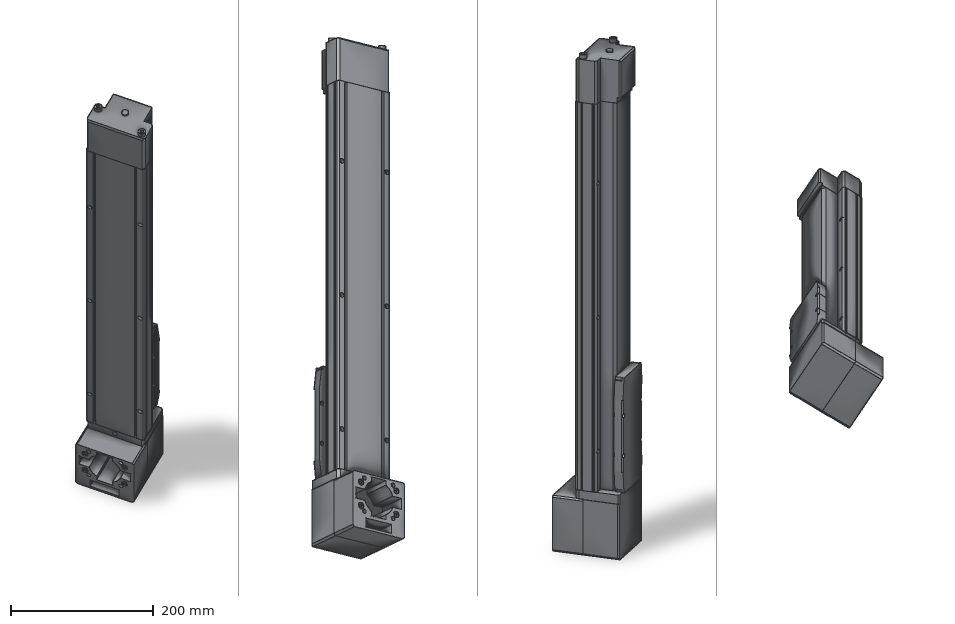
import cadquery as cq
import math


width = 90.0
total_height = 747.5
total_depth = 103.0
half_width = width / 2

block_top = 84.0
rail_bottom = 97.0
rail_top = 677.0
fitting_height = 6.0
cap_top = total_height - fitting_height

mount_back = 45.5
rail_front = 34.5
shoulder_y = 66.5
rail_back = 90.0
cap_back = 96.5
housing_back = 100.0

corner_chamfer = 3.0
front_chamfer_x = 3.0
front_chamfer_y = 5.0
edge_chamfer = 2.0

web_half_width = 30.0
groove_width = 4.0
groove_depth = 6.0
front_side_groove_y = 42.5
rear_side_groove_y = 60.0
side_groove_width = 2.0
side_groove_depth = 2.0
web_chamfer = 4.5
flange_chamfer_x = 1.5
flange_chamfer_y = 3.0
rail_hole_diameter = 7.0
rail_hole_x = 39.0
rail_hole_pitch = 200.0
rail_hole_first_z = 157.0
rail_hole_count = 3

neck_half_width = 44.0
neck_hole_diameter = 7.0
neck_hole_depth = 7.5
neck_hole_z = 91.0
bottom_chamfer = 3.0

shaft_z = 51.5
bore_radius = 25.5
side_arm_reach = 39.5
side_arm_half_height = 8.0
upright_arm_reach = 29.0
upright_arm_half_width = 12.3
slot_length = 45.0
slot_height = 13.5
slot_z = 10.5
bolt_circle_radius = 35.0
large_bolt_angle = 30
large_bolt_diameter = 4.5
large_bolt_counterbore = 9.0
counterbore_depth = 2.0
small_bolt_angle = 45
small_bolt_diameter = 6.0
bolt_hole_depth = 15.0

cap_relief_height = 8.0
cap_relief_depth = 5.0
fitting_diameter = 10.5
fitting_bore_diameter = 5.0
fitting_x = 37.5
left_fitting_y = 60.0
right_fitting_y = 43.0
plug_diameter = 10.0
plug_height = 2.0
plug_y = 69.0

carriage_half_width = 37.5
carriage_top = 269.0
end_block_height = 32.0
end_block_taper = 4.0
table_chamfer = 2.0
end_notch_x = 31.5
end_notch_height = 4.5
end_lip = 3.0
carriage_hole_diameter = 6.0
carriage_hole_x = 34.0
carriage_hole_pitch = 60.0


def block(x_half, y_min, y_max, z_min, z_max):
    """Box centred on X, given by its half width and its Y and Z limits."""
    box = cq.Workplane("XY").box(2 * x_half, y_max - y_min, z_max - z_min, centered=(True, False, False))
    return box.translate((0, y_min, z_min))


def bore_along_y(diameter, x, z, y_start, length):
    """Cylinder that runs from y_start toward +Y."""
    return cq.Workplane("XZ", origin=(x, y_start, z)).circle(diameter / 2).extrude(-length)


def mirrored_prism(plane, origin, right_points, length):
    """Prism on an outline given by its right half and mirrored to the left."""
    left_points = [(-across, along) for across, along in reversed(right_points)]
    return cq.Workplane(plane, origin=origin).polyline(right_points + left_points).close().extrude(length)


def wide_and_web(back, front_cut_x, front_cut_y, back_cut, z_min, z_max):
    """Upright prism with a wide front part, chamfered shoulders and a narrower web at the back."""
    right = [
        (half_width - front_cut_x, rail_front),
        (half_width, rail_front + front_cut_y),
        (half_width, shoulder_y - corner_chamfer),
        (half_width - corner_chamfer, shoulder_y),
        (web_half_width, shoulder_y),
        (web_half_width, back - back_cut),
        (web_half_width - back_cut, back),
    ]
    return mirrored_prism("XY", (0, 0, z_min), right, z_max - z_min)


def rail_groove(x_center, size_x, y_min, size_y):
    """Straight groove along the whole rail."""
    groove = block(size_x / 2, y_min, y_min + size_y, rail_bottom, rail_top)
    return groove.translate((x_center, 0, 0))


def make_rail():
    """Extruded rail with grooves along it and mounting holes through its flanges."""
    rail = wide_and_web(rail_back, flange_chamfer_x, flange_chamfer_y, web_chamfer, rail_bottom, rail_top)
    front_groove_x = web_half_width + groove_width / 2
    side_groove_x = half_width - side_groove_depth / 2
    for side in (-1, 1):
        rail = rail.cut(rail_groove(side * front_groove_x, groove_width, rail_front, groove_depth))
        for y in (front_side_groove_y, rear_side_groove_y):
            rail = rail.cut(rail_groove(side * side_groove_x, side_groove_depth, y, side_groove_width))
        for i in range(rail_hole_count):
            z = rail_hole_first_z + i * rail_hole_pitch
            rail = rail.cut(bore_along_y(rail_hole_diameter, side * rail_hole_x, z, rail_front, total_depth))
    return rail


def make_housing():
    """Bearing housing: a block at the bottom and the neck that carries the rail."""
    lower = block(half_width, mount_back, housing_back, 0, block_top)
    lower = lower.edges("<Z and |Y").chamfer(bottom_chamfer)
    lower = lower.edges(">Y and |Z").chamfer(edge_chamfer)
    neck_outline = [
        (neck_half_width - front_chamfer_x, rail_front),
        (neck_half_width, rail_front + front_chamfer_y),
        (neck_half_width, housing_back - edge_chamfer),
        (neck_half_width - edge_chamfer, housing_back),
    ]
    neck = mirrored_prism("XY", (0, 0, block_top), neck_outline, rail_bottom - block_top)
    housing = lower.union(neck)
    return housing.cut(bore_along_y(neck_hole_diameter, 0, neck_hole_z, rail_front, neck_hole_depth))


def bolt_points(angle):
    """The four X, Z places on the bolt circle at this angle above and below the horizontal."""
    x = bolt_circle_radius * math.cos(math.radians(angle))
    z = bolt_circle_radius * math.sin(math.radians(angle))
    return [(side * x, shaft_z + level * z) for side in (-1, 1) for level in (-1, 1)]


def make_mount():
    """Motor mount in front of the housing, with a cross-shaped opening through it."""
    mount = block(half_width, 0, mount_back, 0, block_top)
    mount = mount.edges("<Z and |Y").chamfer(bottom_chamfer)
    mount = mount.edges(">Z and |Y").chamfer(edge_chamfer)
    mount = mount.cut(bore_along_y(2 * bore_radius, 0, shaft_z, 0, mount_back))
    mount = mount.cut(
        block(side_arm_reach, 0, mount_back, shaft_z - side_arm_half_height, shaft_z + side_arm_half_height)
    )
    mount = mount.cut(
        block(upright_arm_half_width, 0, mount_back, shaft_z - upright_arm_reach, shaft_z + upright_arm_reach)
    )
    mount = mount.cut(block(slot_length / 2, 0, mount_back, slot_z - slot_height / 2, slot_z + slot_height / 2))
    for x, z in bolt_points(large_bolt_angle):
        mount = mount.cut(bore_along_y(large_bolt_diameter, x, z, 0, bolt_hole_depth))
        mount = mount.cut(bore_along_y(large_bolt_counterbore, x, z, 0, counterbore_depth))
    for x, z in bolt_points(small_bolt_angle):
        mount = mount.cut(bore_along_y(small_bolt_diameter, x, z, 0, bolt_hole_depth))
    return mount


def make_cap():
    """End cap on top of the rail, with two hollow fittings and a flat plug."""
    cap = wide_and_web(cap_back, front_chamfer_x, front_chamfer_y, edge_chamfer, rail_top, cap_top)
    cap = cap.faces(">Z").edges("<Y or >Y").chamfer(edge_chamfer)
    relief_top = rail_top + cap_relief_height
    cap = cap.cut(block(web_half_width, cap_back - cap_relief_depth, cap_back, rail_top, relief_top))
    for x, y in ((-fitting_x, left_fitting_y), (fitting_x, right_fitting_y)):
        fitting = (
            cq.Workplane("XY", origin=(x, y, cap_top))
            .circle(fitting_diameter / 2)
            .circle(fitting_bore_diameter / 2)
            .extrude(fitting_height)
        )
        cap = cap.union(fitting)
    plug = cq.Workplane("XY", origin=(0, plug_y, cap_top)).circle(plug_diameter / 2).extrude(plug_height)
    return cap.union(plug)


def make_carriage():
    """Carriage: a table between two tapered end blocks, on the back of the rail."""
    table_bottom = rail_bottom + end_block_height
    table_top = carriage_top - end_block_height
    end_half_width = carriage_half_width - end_block_taper
    right = [
        (end_half_width, rail_bottom),
        (carriage_half_width, table_bottom),
        (carriage_half_width, table_top),
        (end_half_width, carriage_top),
    ]
    thickness = total_depth - rail_back
    carriage = mirrored_prism("XZ", (0, rail_back, 0), right, -thickness)

    for side in (-1, 1):
        corner = (
            cq.Workplane("XY", origin=(0, 0, table_bottom))
            .moveTo(side * carriage_half_width, total_depth)
            .lineTo(side * (carriage_half_width - table_chamfer), total_depth)
            .lineTo(side * carriage_half_width, total_depth - table_chamfer)
            .close()
            .extrude(table_top - table_bottom)
        )
        carriage = carriage.cut(corner)

    notch_width = carriage_half_width - end_notch_x
    notch_center_x = end_notch_x + notch_width / 2
    for x in (-notch_center_x, notch_center_x):
        for z in (rail_bottom, carriage_top - end_notch_height):
            notch = block(notch_width / 2, rail_back, total_depth - end_lip, z, z + end_notch_height)
            carriage = carriage.cut(notch.translate((x, 0, 0)))

    middle_z = (rail_bottom + carriage_top) / 2
    for x in (-carriage_hole_x, carriage_hole_x):
        for z in (middle_z - carriage_hole_pitch / 2, middle_z + carriage_hole_pitch / 2):
            carriage = carriage.cut(bore_along_y(carriage_hole_diameter, x, z, rail_back, thickness))
    return carriage


rail = make_rail()
housing = make_housing()
mount = make_mount()
cap = make_cap()
carriage = make_carriage()

result = cq.Compound.makeCompound([rail.val(), housing.val(), mount.val(), cap.val(), carriage.val()])